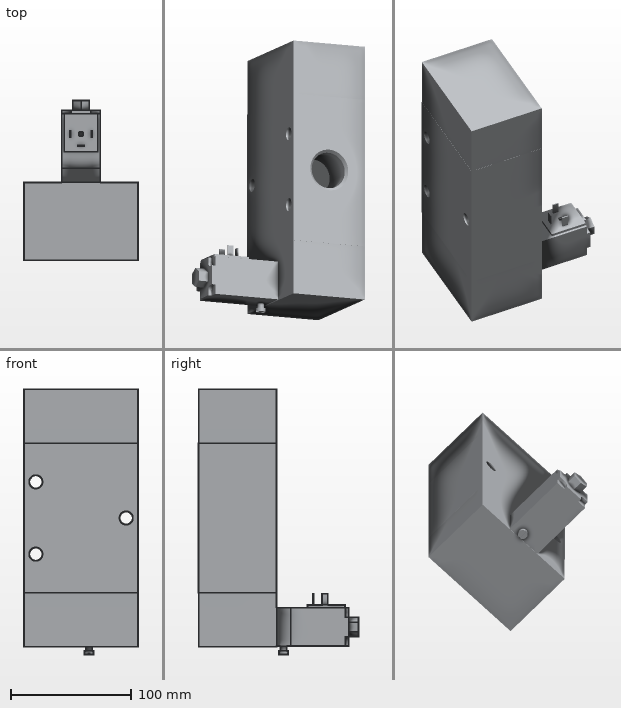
import cadquery as cq


TOTAL_HEIGHT = 220.5
TOTAL_DEPTH = 133.0

BLOCK_WIDTH = 95.0
BLOCK_DEPTH = 64.8
BLOCK_HEIGHT = 214.0
CAP_HEIGHT = 45.0
CAP_SETBACK = 0.1
BLOCK_BOTTOM = -BLOCK_HEIGHT / 2

MOUNT_DIAMETER = 10.8
MOUNT_SPACING_X = 75.0
MOUNT_SPACING_Z = 60.0

PORT_DIAMETER = 30.0
PORT_CHAMFER = 2.2
PORT_DEPTH = 33.0

PILOT_SIZE = 32.0
PILOT_RISE = 0.7
PILOT_BOTTOM = BLOCK_BOTTOM + PILOT_RISE
PILOT_CENTRE_Z = PILOT_BOTTOM + PILOT_SIZE / 2
PILOT_TOP = PILOT_BOTTOM + PILOT_SIZE
BASE_LENGTH = 11.7

OVERRIDE_X = 6.6
OVERRIDE_Y = BLOCK_DEPTH + BASE_LENGTH / 2
OVERRIDE_SHANK_DIAMETER = 5.5
OVERRIDE_HEAD_DIAMETER = 8.0
OVERRIDE_HEAD_HEIGHT = 3.0
OVERRIDE_SLOT_WIDTH = 1.0
OVERRIDE_SLOT_DEPTH = 1.0
OVERRIDE_BOTTOM = BLOCK_HEIGHT / 2 - TOTAL_HEIGHT

NUT_LENGTH = 8.2
NUT_ACROSS_CORNERS = 16.0
COIL_START = BLOCK_DEPTH + BASE_LENGTH
COIL_END = TOTAL_DEPTH - NUT_LENGTH
NOTCH_SIZE = 8.0
NOTCH_RADIUS = 4.0
NOTCH_DEPTH = 3.0

PAD_WIDTH = 28.0
PAD_LENGTH = 31.3
PAD_HEIGHT = 2.2
PAD_END = COIL_END - NOTCH_DEPTH
PAD_TOP = PILOT_TOP + PAD_HEIGHT
BLADE_WIDTH = 5.0
BLADE_THICKNESS = 0.9
BLADE_HEIGHT = 9.5
CONNECTOR_INSET = 16.8
CONNECTOR_Y = PAD_END - CONNECTOR_INSET
SIDE_BLADE_X = 8.8
EARTH_BLADE_OFFSET = 9.7
SCREW_HOLE_DIAMETER = 4.0
SCREW_HOLE_DEPTH = 1.0
SCREW_CORE_DIAMETER = 2.5
SCREW_CORE_DEPTH = 6.6


def box(width, depth, height, x, y, z):
    """Box centred on x, starting at y and standing on z."""
    return cq.Workplane("XY").box(width, depth, height, centered=(True, False, False)).translate((x, y, z))


def cylinder(diameter, height, x, y, z):
    """Vertical cylinder standing on z."""
    return cq.Workplane("XY").circle(diameter / 2).extrude(height).translate((x, y, z))


def block_sections():
    """Middle section joined to the end cap below it and the one above it."""
    middle_height = BLOCK_HEIGHT - 2 * CAP_HEIGHT
    middle = box(BLOCK_WIDTH, BLOCK_DEPTH, middle_height, 0, 0, -middle_height / 2)
    cap_width = BLOCK_WIDTH - 2 * CAP_SETBACK
    cap_depth = BLOCK_DEPTH - CAP_SETBACK
    for cap_bottom in (BLOCK_BOTTOM, middle_height / 2):
        middle = middle.union(box(cap_width, cap_depth, CAP_HEIGHT, 0, CAP_SETBACK, cap_bottom))
    return middle


def mounting_holes():
    """Two holes near the -X side and one near the +X side, running through along Y."""
    centres = [
        (-MOUNT_SPACING_X / 2, MOUNT_SPACING_Z / 2),
        (-MOUNT_SPACING_X / 2, -MOUNT_SPACING_Z / 2),
        (MOUNT_SPACING_X / 2, 0),
    ]
    return cq.Workplane("XZ").pushPoints(centres).circle(MOUNT_DIAMETER / 2).extrude(-BLOCK_DEPTH)


def port():
    """Flat-bottomed round port with a chamfered mouth, turned about its own axis."""
    radius = PORT_DIAMETER / 2
    face_x = -BLOCK_WIDTH / 2
    profile = [
        (face_x, 0),
        (face_x, radius + PORT_CHAMFER),
        (face_x + PORT_CHAMFER, radius),
        (face_x + PORT_DEPTH, radius),
        (face_x + PORT_DEPTH, 0),
    ]
    turned = cq.Workplane("XY").polyline(profile).close().revolve(360, (0, 0, 0), (1, 0, 0))
    return turned.translate((0, BLOCK_DEPTH / 2, 0))


def override_screw():
    """Shank and wider head hanging below the pilot base, with a screwdriver slot along Y."""
    shank_length = PILOT_BOTTOM - OVERRIDE_BOTTOM
    shank = cylinder(OVERRIDE_SHANK_DIAMETER, shank_length, OVERRIDE_X, OVERRIDE_Y, OVERRIDE_BOTTOM)
    head = cylinder(OVERRIDE_HEAD_DIAMETER, OVERRIDE_HEAD_HEIGHT, OVERRIDE_X, OVERRIDE_Y, OVERRIDE_BOTTOM)
    slot_start = OVERRIDE_Y - OVERRIDE_HEAD_DIAMETER / 2
    slot_size = (OVERRIDE_SLOT_WIDTH, OVERRIDE_HEAD_DIAMETER, OVERRIDE_SLOT_DEPTH)
    slot = box(*slot_size, OVERRIDE_X, slot_start, OVERRIDE_BOTTOM)
    return shank.union(head).cut(slot)


def make_valve():
    base = box(PILOT_SIZE, BASE_LENGTH, PILOT_SIZE, 0, BLOCK_DEPTH, PILOT_BOTTOM)
    block = block_sections().cut(mounting_holes()).cut(port())
    return block.union(base).union(override_screw())


def coil_housing():
    """Square housing with a rounded notch in each corner of its outer end."""
    housing = box(PILOT_SIZE, COIL_END - COIL_START, PILOT_SIZE, 0, COIL_START, PILOT_BOTTOM)
    cutter = (
        cq.Workplane("XZ", origin=(0, COIL_END, PILOT_CENTRE_Z))
        .rect(PILOT_SIZE, PILOT_SIZE, forConstruction=True)
        .vertices()
        .rect(2 * NOTCH_SIZE, 2 * NOTCH_SIZE)
        .extrude(NOTCH_DEPTH)
        .edges("|Y")
        .fillet(NOTCH_RADIUS)
    )
    return housing.cut(cutter)


def nut():
    """Hexagonal nut with two corners on the vertical centre line."""
    return (
        cq.Workplane("XZ", origin=(0, COIL_END, PILOT_CENTRE_Z))
        .transformed(rotate=(0, 0, 90))
        .polygon(6, NUT_ACROSS_CORNERS)
        .extrude(-NUT_LENGTH)
    )


def connector():
    """Pad with three upright contact blades."""
    pad = box(PAD_WIDTH, PAD_LENGTH, PAD_HEIGHT, 0, PAD_END - PAD_LENGTH, PILOT_TOP)
    side_start = CONNECTOR_Y - BLADE_WIDTH / 2
    for x in (-SIDE_BLADE_X, SIDE_BLADE_X):
        pad = pad.union(box(BLADE_THICKNESS, BLADE_WIDTH, BLADE_HEIGHT, x, side_start, PAD_TOP))
    earth_start = CONNECTOR_Y - EARTH_BLADE_OFFSET - BLADE_THICKNESS / 2
    return pad.union(box(BLADE_WIDTH, BLADE_THICKNESS, BLADE_HEIGHT, 0, earth_start, PAD_TOP))


def connector_screw_hole():
    """Shallow recess around a deeper core hole, between the side blades."""
    recess = cylinder(SCREW_HOLE_DIAMETER, SCREW_HOLE_DEPTH, 0, CONNECTOR_Y, PAD_TOP - SCREW_HOLE_DEPTH)
    core = cylinder(SCREW_CORE_DIAMETER, SCREW_CORE_DEPTH, 0, CONNECTOR_Y, PAD_TOP - SCREW_CORE_DEPTH)
    return recess.union(core)


def make_coil():
    return coil_housing().union(nut()).union(connector()).cut(connector_screw_hole())


valve = make_valve()
coil = make_coil()
result = cq.Compound.makeCompound([valve.val(), coil.val()])